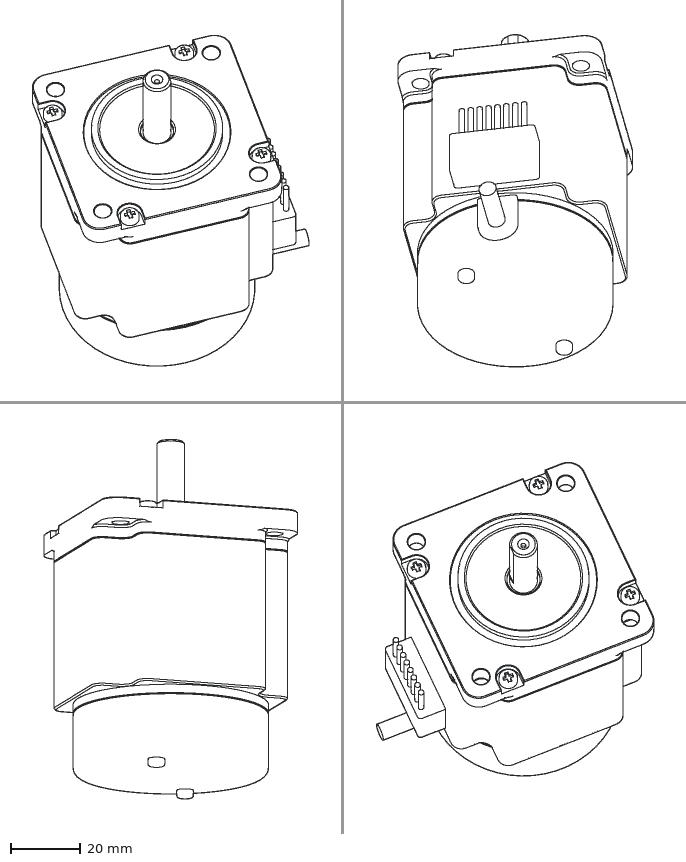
import cadquery as cq
import math


WIDTH = 60.0
HALF_WIDTH = WIDTH / 2
OVERALL_DEPTH = 75.3
FLANGE_THICKNESS = 6.2
FLANGE_CORNER_RADIUS = 5
EDGE_BREAK = 0.3
BODY_BOTTOM = -53.8
BODY_BOTTOM_CHAMFER = 0.5
BODY_JOINT_Z = -10.0
NOTCH_ARC_RADIUS = 3.3
NOTCH_WALL = 19.7
NOTCH_FLARE = 0.6
MOUNT_HOLE_SPACING = 47.2
MOUNT_HOLE_DIAMETER = 4.9
MOUNT_HOLE_CHAMFER = 0.2

JOINT_GROOVE_HEIGHT = 0.3
JOINT_GROOVE_DEPTH = 0.2

PILOT_DIAMETER = 38.1
PILOT_HEIGHT = 1.6
PILOT_GROOVE_DIAMETER = 42.8
PILOT_GROOVE_FLOOR_DIAMETER = 42.4
PILOT_GROOVE_DEPTH = 0.5
PILOT_DISH_DIAMETER = 34.3
PILOT_DISH_DEPTH = 0.5
SHAFT_BORE_DIAMETER = 9.7
SHAFT_BORE_DEPTH = 1.5
SHAFT_BORE_CHAMFER = 0.5

SHAFT_DIAMETER = 8.1
SHAFT_TOP = 24.2
SHAFT_CHAMFER = 0.6
FLAT_OFFSET = 3.7
FLAT_BOTTOM = 3.8
CENTRE_HOLE_DIAMETER = 3.3
CENTRE_DRILL_DIAMETER = 1.4
CENTRE_DRILL_DEPTH = 2.5

POCKET_WIDTH = 7.1
POCKET_DEPTH = 2.4
POCKET_CHAMFER = 0.2
FLANGE_SCREW_DIAMETER = 5.4
FLANGE_SCREW_HEIGHT = 2.1
FLANGE_SCREW_ROUND = 0.8
CROSS_LENGTH = 3
CROSS_WIDTH = 1
CROSS_DEPTH = 1

COVER_DIAMETER = 56.7
COVER_BOTTOM = -74.5
COVER_ROUND = 2.1
COVER_JOINT_Z = -56.4
COVER_SCREW_DIAMETER = 4.8
COVER_SCREW_TIP = -76.6
COVER_SCREW_ROUND = 0.6
COVER_SCREW_CIRCLE_RADIUS = 22.0
COVER_SCREW_ANGLE = 60

CABLE_DIAMETER = 5
CABLE_END = OVERALL_DEPTH - HALF_WIDTH
CABLE_Z = -65.1
GROMMET_RADIUS = 5.8
GROMMET_TOP = -56.4
GROMMET_FACE = 30.3
GROMMET_ROUND = 0.9

CONNECTOR_WIDTH = 25.2
CONNECTOR_FACE = 38.5
CONNECTOR_TOP = -37.9
CONNECTOR_BOTTOM = -51.4
CONNECTOR_ROUND = 1
WIRE_COUNT = 8
WIRE_DIAMETER = 1.6
WIRE_PITCH = 2.6
WIRE_Y = 36.3
WIRE_TOP = -27.9


def cylinder(diameter, bottom, top, x=0, y=0):
    return cq.Workplane("XY", origin=(x, y, bottom)).circle(diameter / 2).extrude(top - bottom)


def cone(top_diameter, bottom_diameter, top, depth):
    return (
        cq.Workplane("XY", origin=(0, 0, top))
        .circle(top_diameter / 2)
        .workplane(offset=-depth)
        .circle(bottom_diameter / 2)
        .loft()
    )


def block(x_range, y_range, z_range):
    size = [high - low for low, high in (x_range, y_range, z_range)]
    corner = (x_range[0], y_range[0], z_range[0])
    return cq.Workplane("XY").box(*size, centered=False).translate(corner)


def flange():
    plate = (
        cq.Workplane("XY", origin=(0, 0, -FLANGE_THICKNESS))
        .rect(WIDTH, WIDTH)
        .extrude(FLANGE_THICKNESS)
        .edges("|Z")
        .fillet(FLANGE_CORNER_RADIUS)
    )
    return plate.faces(">Z").edges().chamfer(EDGE_BREAK)


def notched_outline(bottom):
    """Square whose corners step inward as a lobe, a hollow and a second lobe."""
    radius = NOTCH_ARC_RADIUS
    lobe = NOTCH_WALL - radius
    hollow = NOTCH_WALL + radius
    lobe_end = HALF_WIDTH - radius
    diagonal = radius * math.sqrt(0.5)

    def turned(x, y, quarter):
        for _ in range(quarter):
            x, y = -y, x
        return x, y

    outline = cq.Workplane("XY", origin=(0, 0, bottom)).moveTo(HALF_WIDTH, -lobe)
    for quarter in range(4):
        outline = (
            outline.lineTo(*turned(HALF_WIDTH, lobe, quarter))
            .threePointArc(
                turned(lobe_end + diagonal, lobe + diagonal, quarter),
                turned(lobe_end, NOTCH_WALL, quarter),
            )
            .lineTo(*turned(hollow, NOTCH_WALL, quarter))
            .threePointArc(
                turned(hollow - diagonal, hollow - diagonal, quarter),
                turned(NOTCH_WALL, hollow, quarter),
            )
            .lineTo(*turned(NOTCH_WALL, lobe_end, quarter))
            .threePointArc(
                turned(lobe + diagonal, lobe_end + diagonal, quarter),
                turned(lobe, HALF_WIDTH, quarter),
            )
        )
    return outline.close()


def body():
    column = notched_outline(BODY_BOTTOM).extrude(-BODY_BOTTOM - FLANGE_THICKNESS)
    column = column.faces("<Z").edges().chamfer(BODY_BOTTOM_CHAMFER)
    flare = notched_outline(-FLANGE_THICKNESS - NOTCH_FLARE).extrude(NOTCH_FLARE, taper=-45)
    envelope = cq.Workplane("XY", origin=(0, 0, BODY_BOTTOM)).rect(WIDTH, WIDTH).extrude(-BODY_BOTTOM)
    groove_bottom = BODY_JOINT_Z - JOINT_GROOVE_HEIGHT / 2
    groove = notched_outline(groove_bottom).extrude(JOINT_GROOVE_HEIGHT)
    core = notched_outline(groove_bottom).offset2D(-JOINT_GROOVE_DEPTH).extrude(JOINT_GROOVE_HEIGHT)
    return column.cut(groove.cut(core)).union(flare.intersect(envelope))


def cut_mount_holes(part):
    offset = MOUNT_HOLE_SPACING / 2
    rim_diameter = MOUNT_HOLE_DIAMETER + 2 * MOUNT_HOLE_CHAMFER
    rim = cone(rim_diameter, MOUNT_HOLE_DIAMETER, 0, MOUNT_HOLE_CHAMFER)
    hole = cylinder(MOUNT_HOLE_DIAMETER, BODY_BOTTOM, 0).union(rim)
    for x in (-offset, offset):
        for y in (-offset, offset):
            part = part.cut(hole.translate((x, y, 0)))
    return part


def add_pilot(part):
    part = part.cut(cone(PILOT_GROOVE_DIAMETER, PILOT_GROOVE_FLOOR_DIAMETER, 0, PILOT_GROOVE_DEPTH))
    part = part.union(cylinder(PILOT_DIAMETER, -PILOT_GROOVE_DEPTH, PILOT_HEIGHT))

    dish_floor = PILOT_HEIGHT - PILOT_DISH_DEPTH
    dish_floor_diameter = PILOT_DISH_DIAMETER - 2 * PILOT_DISH_DEPTH
    part = part.cut(cone(PILOT_DISH_DIAMETER, dish_floor_diameter, PILOT_HEIGHT, PILOT_DISH_DEPTH))
    part = part.cut(cylinder(SHAFT_BORE_DIAMETER, dish_floor - SHAFT_BORE_DEPTH, dish_floor))
    rim_diameter = SHAFT_BORE_DIAMETER + 2 * SHAFT_BORE_CHAMFER
    return part.cut(cone(rim_diameter, SHAFT_BORE_DIAMETER, dish_floor, SHAFT_BORE_CHAMFER))


def shaft():
    bottom = -FLANGE_THICKNESS
    rod = cylinder(SHAFT_DIAMETER, bottom, SHAFT_TOP).faces(">Z").chamfer(SHAFT_CHAMFER)
    rod = rod.cut(
        block((-SHAFT_DIAMETER, SHAFT_DIAMETER), (FLAT_OFFSET, SHAFT_DIAMETER), (FLAT_BOTTOM, SHAFT_TOP))
    )
    countersink_depth = (CENTRE_HOLE_DIAMETER - CENTRE_DRILL_DIAMETER) / 2
    rod = rod.cut(cone(CENTRE_HOLE_DIAMETER, CENTRE_DRILL_DIAMETER, SHAFT_TOP, countersink_depth))
    return rod.cut(cylinder(CENTRE_DRILL_DIAMETER, SHAFT_TOP - CENTRE_DRILL_DEPTH, SHAFT_TOP))


def pocket_outline(bottom):
    """Round-ended slot around the origin, open toward +X."""
    half = POCKET_WIDTH / 2
    return (
        cq.Workplane("XY", origin=(0, 0, bottom))
        .moveTo(POCKET_WIDTH, -half)
        .lineTo(0, -half)
        .threePointArc((-half, 0), (0, half))
        .lineTo(POCKET_WIDTH, half)
        .close()
    )


def screw_pocket():
    slot = pocket_outline(-POCKET_DEPTH).extrude(POCKET_DEPTH)
    return slot.union(pocket_outline(-POCKET_CHAMFER).extrude(POCKET_CHAMFER, taper=-45))


def flange_screw():
    """Domed head with a cross recess, standing on the pocket floor at the origin."""
    top = FLANGE_SCREW_HEIGHT - POCKET_DEPTH
    head = cylinder(FLANGE_SCREW_DIAMETER, -POCKET_DEPTH, top).faces(">Z").edges().fillet(FLANGE_SCREW_ROUND)
    recess = cq.Workplane("XY", origin=(0, 0, top - CROSS_DEPTH))
    for length, width in ((CROSS_LENGTH, CROSS_WIDTH), (CROSS_WIDTH, CROSS_LENGTH)):
        head = head.cut(recess.rect(length, width).extrude(CROSS_DEPTH))
    return head


def add_flange_screws(part):
    position = (HALF_WIDTH - NOTCH_ARC_RADIUS, NOTCH_ARC_RADIUS - NOTCH_WALL, 0)
    for angle in range(0, 360, 90):
        part = part.cut(screw_pocket().translate(position).rotate((0, 0, 0), (0, 0, 1), angle))
        part = part.union(flange_screw().translate(position).rotate((0, 0, 0), (0, 0, 1), angle))
    return part


def rear_cover():
    cover = cylinder(COVER_DIAMETER, COVER_BOTTOM, BODY_BOTTOM).faces("<Z").edges().fillet(COVER_ROUND)
    groove_range = (COVER_JOINT_Z - JOINT_GROOVE_HEIGHT / 2, COVER_JOINT_Z + JOINT_GROOVE_HEIGHT / 2)
    core = cylinder(COVER_DIAMETER - 2 * JOINT_GROOVE_DEPTH, *groove_range)
    cover = cover.cut(cylinder(COVER_DIAMETER, *groove_range).cut(core))
    for angle in (COVER_SCREW_ANGLE, COVER_SCREW_ANGLE + 180):
        x = COVER_SCREW_CIRCLE_RADIUS * math.cos(math.radians(angle))
        y = COVER_SCREW_CIRCLE_RADIUS * math.sin(math.radians(angle))
        head = cylinder(COVER_SCREW_DIAMETER, COVER_SCREW_TIP, COVER_BOTTOM, x, y)
        cover = cover.union(head.faces("<Z").edges().fillet(COVER_SCREW_ROUND))
    return cover


def y_cylinder(diameter, end):
    """Cylinder on the cable axis, running from the motor axis out to the given y."""
    return cq.Workplane("XZ", origin=(0, 0, CABLE_Z)).circle(diameter / 2).extrude(-end)


def cable():
    grommet = block((-GROMMET_RADIUS, GROMMET_RADIUS), (0, GROMMET_FACE), (CABLE_Z, GROMMET_TOP))
    grommet = grommet.union(y_cylinder(2 * GROMMET_RADIUS, GROMMET_FACE))
    grommet = grommet.faces(">Y").edges("not >Z").fillet(GROMMET_ROUND)
    return grommet.union(y_cylinder(CABLE_DIAMETER, CABLE_END))


def connector():
    half = CONNECTOR_WIDTH / 2
    housing = block((-half, half), (HALF_WIDTH, CONNECTOR_FACE), (CONNECTOR_BOTTOM, CONNECTOR_TOP))
    housing = housing.edges("(|Z and >Y) or (|Y and <Z) or (|X and <Z and >Y)").fillet(CONNECTOR_ROUND)
    for index in range(WIRE_COUNT):
        x = (index - (WIRE_COUNT - 1) / 2) * WIRE_PITCH
        housing = housing.union(cylinder(WIRE_DIAMETER, CONNECTOR_TOP, WIRE_TOP, x, WIRE_Y))
    return housing


result = flange().union(body())
result = cut_mount_holes(result)
result = add_pilot(result)
result = add_flange_screws(result)
result = result.union(shaft()).union(rear_cover()).union(cable()).union(connector())